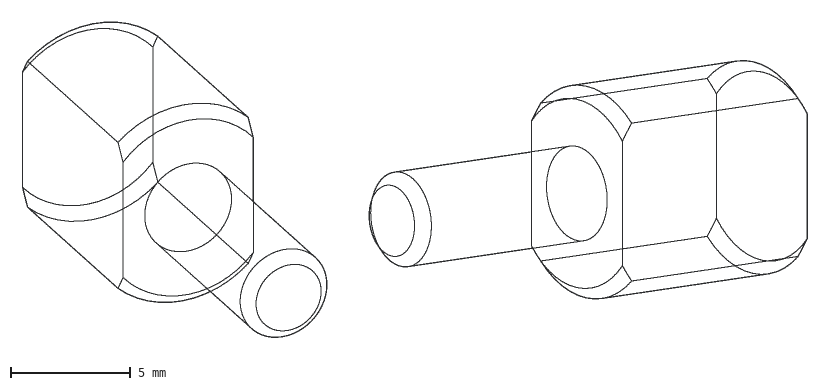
import cadquery as cq

total_length = 20.0
head_length = 10.0
head_diameter = 9.0
width_across_flats = 6.0
pin_diameter = 4.0
chamfer = 0.5

pin_length = total_length - head_length


def make_head():
    """Chamfered cylinder along X, cut to two parallel flats facing -Y and +Y."""
    cylinder = (
        cq.Workplane("YZ")
        .circle(head_diameter / 2)
        .extrude(head_length)
        .edges()
        .chamfer(chamfer)
    )
    flats_envelope = cq.Workplane("XY").box(
        head_length, width_across_flats, head_diameter, centered=(False, True, True)
    )
    return cylinder.intersect(flats_envelope)


def make_pin():
    """Pin continuing from the head along X, chamfered at its free end."""
    return (
        cq.Workplane("YZ", origin=(head_length, 0, 0))
        .circle(pin_diameter / 2)
        .extrude(pin_length)
        .faces(">X")
        .chamfer(chamfer)
    )


result = make_head().union(make_pin())